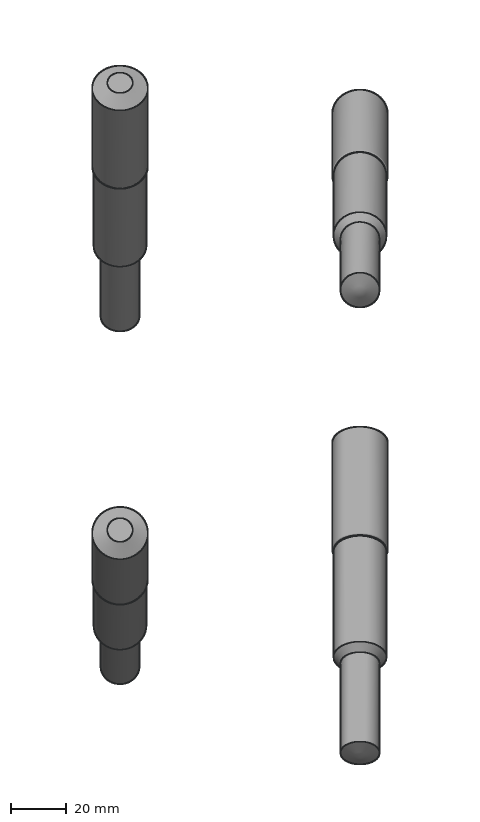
import cadquery as cq

total_length = 142.0

head_diameter = 20.0
top_face_diameter = 9.1
top_chamfer_height = 3.1
head_bottom = 91.5
neck_diameter = 18.9
neck_height = 0.4
bottom_edge_radius = (head_diameter - neck_diameter) / 2

shank_diameter = 19.0
shank_top = head_bottom - neck_height
nose_top = 44.3
nose_bottom = 41.5
pin_diameter = 14.0
pin_tip_height = 2.0


def revolve_profile(points):
    """Turn a closed (radius, height) outline about the Z axis."""
    outline = cq.Workplane("XZ").polyline(points).close()
    return outline.revolve(360, (0, 0, 0), (0, 1, 0))


def make_head():
    """Cylindrical head with a wide top chamfer and a bottom edge rounded into a neck."""
    head_radius = head_diameter / 2
    head = revolve_profile([
        (0, head_bottom),
        (head_radius, head_bottom),
        (head_radius, total_length - top_chamfer_height),
        (top_face_diameter / 2, total_length),
        (0, total_length),
    ])
    head = head.faces("<Z").edges().fillet(bottom_edge_radius)
    neck = cq.Workplane("XY", origin=(0, 0, shank_top)).circle(neck_diameter / 2).extrude(neck_height)
    return head.union(neck)


def make_stepped_body():
    """Shank that narrows through a conical nose to a pin with a shallow point."""
    shank_radius = shank_diameter / 2
    pin_radius = pin_diameter / 2
    return revolve_profile([
        (0, 0),
        (pin_radius, pin_tip_height),
        (pin_radius, nose_bottom),
        (shank_radius, nose_top),
        (shank_radius, shank_top),
        (0, shank_top),
    ])


head = make_head()
stepped_body = make_stepped_body()

result = cq.Compound.makeCompound([head.val(), stepped_body.val()])